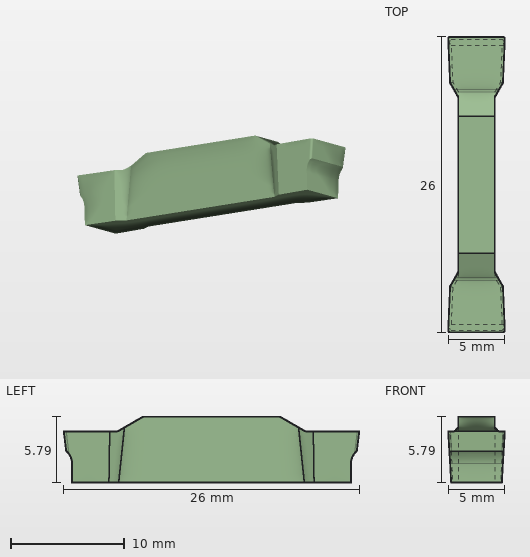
import cadquery as cq
import math


length = 26.0
cutting_width = 5.0
total_height = 5.79
head_height = 4.5

web_width = 3.21
web_top_length = 12.06
ramp_angle = math.radians(30)
ramp_fillet = 0.5

head_side_length = 4.05
side_relief = math.radians(2.5)
neck_angle = math.radians(30)
draft_degrees = 3.0
corner_radius = 0.2

end_relief = math.radians(7)
end_setback = 0.73
undercut_bottom = 1.68
undercut_top = 2.76

overrun = 1.0

half_length = length / 2
half_web = web_width / 2
ramp_top_y = web_top_length / 2
ramp_foot_y = ramp_top_y + (total_height - head_height) / math.tan(ramp_angle)

sharp_half_width = cutting_width / 2 + corner_radius * (
    math.tan(side_relief) + 1 / math.cos(side_relief) - 1
)


def side_profile():
    """Full-width prism of the side outline, with straight relieved ends and rounded ramp feet."""
    end_bottom_y = half_length - head_height * math.tan(end_relief)
    outline = [
        (-end_bottom_y, 0),
        (-half_length, head_height),
        (-ramp_foot_y, head_height),
        (-ramp_top_y, total_height),
        (ramp_top_y, total_height),
        (ramp_foot_y, head_height),
        (half_length, head_height),
        (end_bottom_y, 0),
    ]
    prism = cq.Workplane("YZ").polyline(outline).close().extrude(cutting_width, both=True)
    reach = cutting_width
    for foot_y in (-ramp_foot_y, ramp_foot_y):
        foot = cq.selectors.BoxSelector(
            (-reach, foot_y - ramp_fillet, head_height - ramp_fillet),
            (reach, foot_y + ramp_fillet, head_height + ramp_fillet),
        )
        prism = prism.edges("|X").edges(foot).fillet(ramp_fillet)
    return prism


def drafted_head():
    """Tapered plan shape of the -Y head, running past the end and into the web."""
    start_y = -half_length - overrun
    shoulder_y = -half_length + head_side_length
    start_half_width = sharp_half_width + overrun * math.tan(side_relief)
    shoulder_half_width = sharp_half_width - head_side_length * math.tan(side_relief)
    inner_half_width = half_web / 2
    inner_y = shoulder_y + (shoulder_half_width - inner_half_width) / math.tan(neck_angle)
    outline = [
        (-start_half_width, start_y),
        (start_half_width, start_y),
        (shoulder_half_width, shoulder_y),
        (inner_half_width, inner_y),
        (-inner_half_width, inner_y),
        (-shoulder_half_width, shoulder_y),
    ]
    top_plane = cq.Workplane("XY").workplane(offset=head_height)
    below = top_plane.polyline(outline).close().extrude(-head_height, taper=draft_degrees)
    above = top_plane.polyline(outline).close().extrude(total_height - head_height, taper=-draft_degrees)
    return below.union(above)


def round_corners(body):
    """Round the upright edges where the head sides meet the end faces."""
    for end_y in (-half_length, half_length):
        for side_x in (-cutting_width / 2, cutting_width / 2):
            corner = cq.selectors.BoxSelector(
                (side_x - overrun, end_y - overrun, head_height / 2 - overrun),
                (side_x + overrun, end_y + overrun, head_height / 2 + overrun),
            )
            body = body.edges(corner).fillet(corner_radius)
    return body


def end_undercut():
    """Cutter that sets the lower part of the -Y end back, with a concave arc up to the end face."""
    outer_y = -half_length - overrun
    foot_y = -half_length + end_setback
    lip_y = -half_length + (head_height - undercut_top) * math.tan(end_relief)
    rise = undercut_top - undercut_bottom
    run = foot_y - lip_y
    radius = (run**2 + rise**2) / (2 * run)
    half_sweep = math.asin(rise / radius) / 2
    middle_y = foot_y - radius * (1 - math.cos(half_sweep))
    middle_z = undercut_bottom + radius * math.sin(half_sweep)
    return (
        cq.Workplane("YZ")
        .moveTo(outer_y, 0)
        .lineTo(foot_y, 0)
        .lineTo(foot_y, undercut_bottom)
        .threePointArc((middle_y, middle_z), (lip_y, undercut_top))
        .lineTo(outer_y, undercut_top)
        .close()
        .extrude(cutting_width, both=True)
    )


web_length = length - 2 * head_side_length
body = cq.Workplane("XY").box(web_width, web_length, total_height, centered=(True, True, False))
head = drafted_head()
body = body.union(head).union(head.mirror("XZ"))
body = body.intersect(side_profile())
body = round_corners(body)
undercut = end_undercut()
result = body.cut(undercut).cut(undercut.mirror("XZ"))